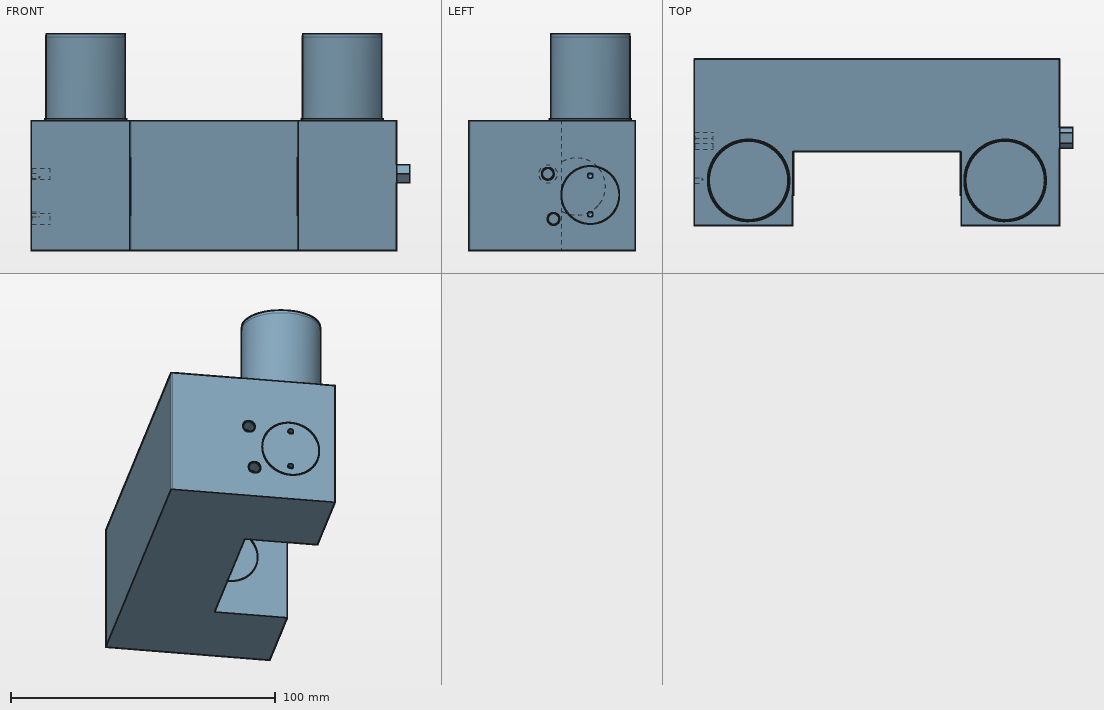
import cadquery as cq
import math

total_length = 143.1
total_height = 82.0

housing_length = 138.1
housing_depth = 63.0
housing_height = 49.1
arm_width = 37.2
arm_reach = 27.9
edge_fillet = 0.5

cap_inset_x = 20.6
cap_inset_y = 17.0
cap_diameter = 30.0
cap_tip_diameter = 29.8
cap_tip_height = 1.1
collar_diameter = 31.0
collar_height = 0.7

pad_diameter = 21.8
pad_height = 0.5
pad_y = 22.3
pad_z = 24.3

ring_outer_diameter = 22.0
ring_inner_diameter = 21.8
ring_depth = 0.1
ring_y = cap_inset_y
ring_z = 21.0
key_hole_diameter = 2.0
key_hole_spacing = 14.6
key_hole_depth = 2.9
drill_point_depth = 0.6

port_diameter = 4.1
port_depth = 7.2
port_chamfer = 0.3
port_a_y, port_a_z = 30.9, 12.0
port_b_y, port_b_z = 33.0, 29.0

fitting_across_flats = 6.9

gap_width = housing_length - 2 * arm_width
cap_height = total_height - housing_height
fitting_length = total_length - housing_length
fitting_corner_diameter = fitting_across_flats / math.cos(math.pi / 6)


def x_cylinder(diameter, x, y, z, length):
    """Cylinder along +X that starts at (x, y, z)."""
    return cq.Workplane("YZ", origin=(x, y, z)).circle(diameter / 2).extrude(length)


def x_cone(base_diameter, x, y, z, length):
    """Pointed cone along +X with its base at (x, y, z)."""
    direction = cq.Vector(1, 0, 0)
    return cq.Solid.makeCone(base_diameter / 2, 0, length, pnt=cq.Vector(x, y, z), dir=direction)


def make_block():
    """U-shaped block with rounded rear edges and rounded inner corners of the gap."""
    right_arm_x = housing_length - arm_width
    outline = [
        (0, 0),
        (arm_width, 0),
        (arm_width, arm_reach),
        (right_arm_x, arm_reach),
        (right_arm_x, 0),
        (housing_length, 0),
        (housing_length, housing_depth),
        (0, housing_depth),
    ]
    block = cq.Workplane("XY").polyline(outline).close().extrude(housing_height)
    return block.edges("|Z").edges("not <Y").fillet(edge_fillet)


def make_pads():
    """One raised pad on each inner arm face."""
    left_pad = x_cylinder(pad_diameter, arm_width, pad_y, pad_z, pad_height)
    return left_pad.union(left_pad.translate((gap_width - pad_height, 0, 0)))


def make_port(y, z):
    """Cutter for a port with a chamfered mouth."""
    mouth_diameter = port_diameter + 2 * port_chamfer
    port = x_cylinder(port_diameter, 0, y, z, port_depth)
    return port.union(x_cone(mouth_diameter, 0, y, z, mouth_diameter / 2))


def make_ring():
    """Cutter for the ring groove."""
    outer = x_cylinder(ring_outer_diameter, 0, ring_y, ring_z, ring_depth)
    return outer.cut(x_cylinder(ring_inner_diameter, 0, ring_y, ring_z, ring_depth))


def make_key_hole(z):
    """Cutter for a blind key hole with a conical bottom."""
    hole = x_cylinder(key_hole_diameter, 0, ring_y, z, key_hole_depth)
    return hole.union(x_cone(key_hole_diameter, key_hole_depth, ring_y, z, drill_point_depth))


def make_housing():
    body = make_block().union(make_pads()).cut(make_ring())
    for y, z in ((port_a_y, port_a_z), (port_b_y, port_b_z)):
        body = body.cut(make_port(y, z))
    for side in (-1, 1):
        body = body.cut(make_key_hole(ring_z + side * key_hole_spacing / 2))
    return body


def make_cap(x):
    """Cap with a low collar at its foot and a slightly tapered tip."""
    base = cq.Workplane("XY", origin=(x, cap_inset_y, housing_height))
    taper = (cap_diameter - cap_tip_diameter) / 2
    cylinder = base.circle(cap_diameter / 2).extrude(cap_height)
    tapered = cylinder.faces(">Z").edges().chamfer(cap_tip_height, taper)
    return tapered.union(base.circle(collar_diameter / 2).extrude(collar_height))


def make_fitting():
    """Hexagonal prism with two flats facing up and down."""
    base = cq.Workplane("YZ", origin=(housing_length, port_b_y, port_b_z))
    return base.polygon(6, fitting_corner_diameter).extrude(fitting_length)


housing = make_housing()
caps = [make_cap(x) for x in (cap_inset_x, housing_length - cap_inset_x)]
fitting = make_fitting()

result = cq.Compound.makeCompound([housing.val(), *[cap.val() for cap in caps], fitting.val()])